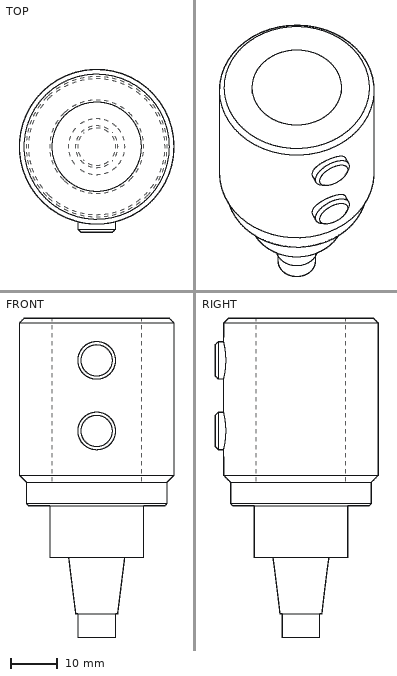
import cadquery as cq

total_height = 68.0
tip_height = 5.0
cone_height = 12.0
neck_height = 11.0
collar_height = 5.0

body_diameter = 33.0
collar_diameter = 30.0
neck_diameter = 20.0
cone_top_diameter = 12.0
cone_bottom_diameter = 9.0
tip_diameter = 8.0
bore_diameter = 19.05

body_top_chamfer = 1.0
collar_chamfer = 0.5

screw_diameter = 8.0
screw_chamfer = 0.7
overall_depth = 34.75
screw_depths = (9.0, 24.0)

cone_bottom = tip_height
neck_bottom = cone_bottom + cone_height
collar_bottom = neck_bottom + neck_height
body_bottom = collar_bottom + collar_height
bore_depth = total_height - body_bottom

body_radius = body_diameter / 2
screw_reach = overall_depth - body_radius
bore_radius = bore_diameter / 2


def cylinder(diameter, bottom, height):
    """Vertical cylinder centred on the Z axis."""
    return cq.Workplane("XY").workplane(offset=bottom).circle(diameter / 2).extrude(height)


def make_body():
    """Clamping sleeve, bevelled at the bottom down to the collar diameter."""
    body = cylinder(body_diameter, body_bottom, total_height - body_bottom)
    bottom_chamfer = (body_diameter - collar_diameter) / 2
    return body.faces(">Z").chamfer(body_top_chamfer).faces("<Z").chamfer(bottom_chamfer)


def make_cone():
    """Taper between the neck and the tip."""
    return (
        cq.Workplane("XY")
        .workplane(offset=cone_bottom)
        .circle(cone_bottom_diameter / 2)
        .workplane(offset=cone_height)
        .circle(cone_top_diameter / 2)
        .loft(ruled=True)
    )


def make_screw(depth):
    """Screw head standing out of the sleeve, its axis at a depth below the top face."""
    wall_middle = (body_radius + bore_radius) / 2
    return (
        cq.Workplane("XZ", origin=(0, -wall_middle, total_height - depth))
        .circle(screw_diameter / 2)
        .extrude(screw_reach - wall_middle)
        .faces("<Y")
        .chamfer(screw_chamfer)
    )


collar = cylinder(collar_diameter, collar_bottom, collar_height).faces("<Z").chamfer(collar_chamfer)
result = (
    make_body()
    .union(collar)
    .union(cylinder(neck_diameter, neck_bottom, neck_height))
    .union(make_cone())
    .union(cylinder(tip_diameter, 0, tip_height))
)
for screw_depth in screw_depths:
    result = result.union(make_screw(screw_depth))
result = result.cut(cylinder(bore_diameter, total_height - bore_depth, bore_depth))